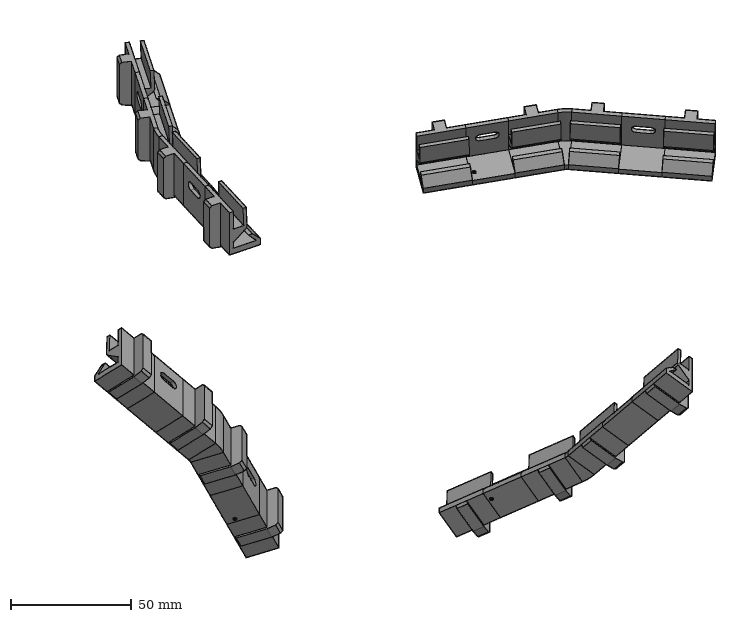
import cadquery as cq


WALL_THICKNESS = 1.8
WALL_HEIGHT = 22.1
FLOOR_DEPTH = 14.8
FLOOR_THICKNESS = 3.0

CLIP_LENGTH = 21.0
PLATE_LENGTH = 18.1
ARM_LENGTH = 2 * CLIP_LENGTH + PLATE_LENGTH
PLATE_START = CLIP_LENGTH
SECOND_CLIP_START = CLIP_LENGTH + PLATE_LENGTH

BEND_ANGLE = 18
BEND_RADIUS = 20.0

LIP_TOP = 7.2
LIP_BASE_HEIGHT = 3.2
LIP_LEAN = LIP_TOP - LIP_BASE_HEIGHT
LIP_INNER_BASE = 12.7
LIP_INNER_TOP = 9.0

FINGER_THICKNESS = 1.6
FINGER_TOP_REACH = 8.0
FINGER_BULGE_REACH = 8.4
FINGER_BULGE_HEIGHT = 12.3
FINGER_UNDERSIDE_TIP = (8.0, 11.1)
FINGER_ROOT_HEIGHT = 6.0
POCKET_FLOOR_HEIGHT = 13.0

POST_WIDTH = 5.2
POST_REACH = 5.0
POST_TOP_CHAMFER = 1.0
POST_BOTTOM_CHAMFER = 1.1
POST_FRONT_BASE = 0.9
RIB_DEPTH = 1.0

SLOT_LENGTH = 10.0
SLOT_HEIGHT = 4.0
SLOT_CENTER_HEIGHT = 14.0

RING_DIAMETER = 1.6
CORE_DIAMETER = 0.7
RING_EDGE_DISTANCE = 1.6
RING_CENTER = (PLATE_START + PLATE_LENGTH - RING_EDGE_DISTANCE, 10.5)


def extrude_section(points, start, length):
    """Extrude a (Y, Z) outline along X from the given start."""
    return cq.Workplane("YZ", origin=(start, 0, 0)).polyline(points).close().extrude(length)


def rail_section():
    """L-shaped (Y, Z) outline of wall and floor."""
    return [
        (0, 0),
        (FLOOR_DEPTH, 0),
        (FLOOR_DEPTH, FLOOR_THICKNESS),
        (WALL_THICKNESS, FLOOR_THICKNESS),
        (WALL_THICKNESS, WALL_HEIGHT),
        (0, WALL_HEIGHT),
    ]


def clip_section():
    """(Y, Z) outline of wall, floor, leaning lip and spring finger."""
    lip = [
        (FLOOR_DEPTH, LIP_BASE_HEIGHT),
        (FLOOR_DEPTH - LIP_LEAN, LIP_TOP),
        (LIP_INNER_TOP, LIP_TOP),
        (LIP_INNER_BASE, FLOOR_THICKNESS),
    ]
    finger = [
        (WALL_THICKNESS, FINGER_ROOT_HEIGHT),
        FINGER_UNDERSIDE_TIP,
        (FINGER_BULGE_REACH, FINGER_BULGE_HEIGHT),
        (FINGER_TOP_REACH, WALL_HEIGHT),
        (FINGER_TOP_REACH - FINGER_THICKNESS, WALL_HEIGHT),
        (FINGER_BULGE_REACH - FINGER_THICKNESS, POCKET_FLOOR_HEIGHT),
        (WALL_THICKNESS, POCKET_FLOOR_HEIGHT),
    ]
    return [
        (0, 0),
        (FLOOR_DEPTH, 0),
        *lip,
        (WALL_THICKNESS, FLOOR_THICKNESS),
        *finger,
        (WALL_THICKNESS, WALL_HEIGHT),
        (0, WALL_HEIGHT),
    ]


def post_section():
    """(Y, Z) outline of the post and the rib that wraps under the floor."""
    post = [
        (0, WALL_HEIGHT),
        (-POST_REACH + POST_TOP_CHAMFER, WALL_HEIGHT),
        (-POST_REACH, WALL_HEIGHT - POST_TOP_CHAMFER),
        (-POST_REACH, POST_FRONT_BASE),
        (-POST_REACH + POST_BOTTOM_CHAMFER, POST_FRONT_BASE - POST_BOTTOM_CHAMFER),
    ]
    rib = [
        (0, -RIB_DEPTH),
        (FLOOR_DEPTH - RIB_DEPTH, -RIB_DEPTH),
        (FLOOR_DEPTH, 0),
        (0, 0),
    ]
    return post + rib


def make_clip(start):
    """Clip segment with a post at the middle of its length."""
    post_start = start + (CLIP_LENGTH - POST_WIDTH) / 2
    post = extrude_section(post_section(), post_start, POST_WIDTH)
    return extrude_section(clip_section(), start, CLIP_LENGTH).union(post)


def make_plate():
    """Plain segment with a horizontal slot through its wall."""
    slot = (
        cq.Workplane("XZ", origin=(PLATE_START + PLATE_LENGTH / 2, 0, SLOT_CENTER_HEIGHT))
        .slot2D(SLOT_LENGTH, SLOT_HEIGHT)
        .extrude(-WALL_THICKNESS)
    )
    return extrude_section(rail_section(), PLATE_START, PLATE_LENGTH).cut(slot)


def make_floor_cylinder(diameter):
    """Upright cylinder through the floor at the ring centre."""
    return cq.Workplane("XY").center(*RING_CENTER).circle(diameter / 2).extrude(FLOOR_THICKNESS)


def make_bend():
    """Rail section swept round the corner, from the straight arm to the bent one."""
    return (
        cq.Workplane("YZ")
        .polyline(rail_section())
        .close()
        .revolve(BEND_ANGLE, (BEND_RADIUS, 0), (BEND_RADIUS, -1))
    )


def to_bent_arm(body):
    """Move a body of the straight arm to its place in the bent arm."""
    return body.translate((-ARM_LENGTH, 0, 0)).rotate(
        (0, BEND_RADIUS, 0), (0, BEND_RADIUS, 1), -BEND_ANGLE
    )


clips = []
for clip_start in (0, SECOND_CLIP_START):
    clip = make_clip(clip_start)
    clips += [clip, to_bent_arm(clip)]

bent_plate = to_bent_arm(make_plate())
straight_plate = make_plate().cut(make_floor_cylinder(RING_DIAMETER))
ring_core = make_floor_cylinder(CORE_DIAMETER)
bend = make_bend()

bodies = [*clips, straight_plate, bent_plate, ring_core, bend]
result = cq.Compound.makeCompound([body.solids().val() for body in bodies])